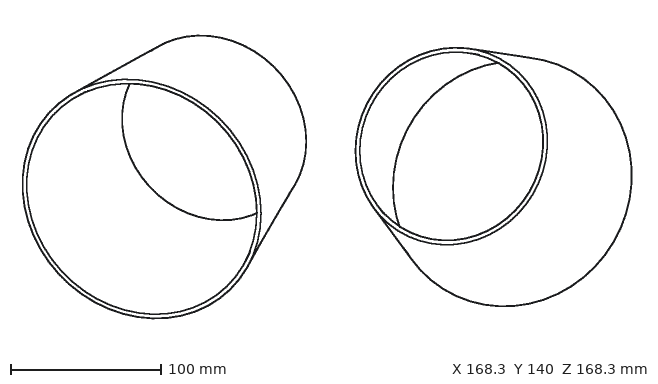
import cadquery as cq

wide_diameter = 168.3
narrow_diameter = 133.0
length = 140.0
wall = 3.0

wide_radius = wide_diameter / 2
narrow_radius = narrow_diameter / 2

wall_section = (
    cq.Workplane("XY")
    .moveTo(wide_radius - wall, 0)
    .lineTo(wide_radius, 0)
    .lineTo(narrow_radius, length)
    .lineTo(narrow_radius - wall, length)
    .close()
)

result = wall_section.revolve(360, (0, 0, 0), (0, 1, 0))